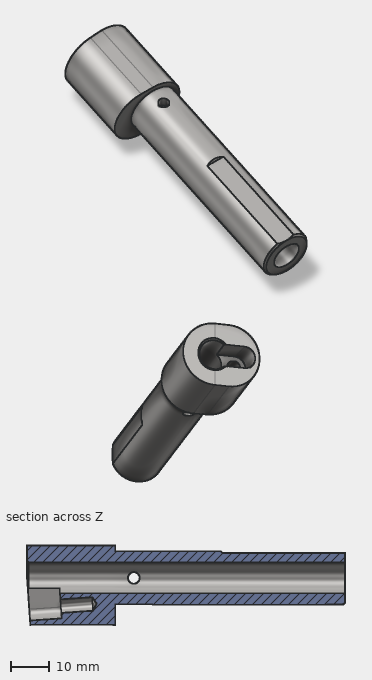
import cadquery as cq
import math

total_length = 83.0
head_length = 23.1
head_radius = 8.51
head_offset = 3.8
shaft_diameter = 14.0
shaft_radius = shaft_diameter / 2
shaft_chamfer = 0.5

bore_radius = 4.0
bore_chamfer = 0.5

cross_hole_x = 27.9
cross_hole_diameter = 3.0

flat_start = 50.55
flat_depth = 0.5

face_tilt = 4.0
slot_width = 6.0
slot_center = 8.1
slot_depth = 8.3
pin_hole_center = 8.0
pin_hole_diameter = 3.5
pin_hole_depth = 8.3
drill_point_angle = 118.0


def make_body():
    """Oblong head with a chamfered round shaft behind it."""
    head = (
        cq.Workplane("YZ")
        .center(-head_offset / 2, 0)
        .slot2D(head_offset + 2 * head_radius, 2 * head_radius)
        .extrude(head_length)
    )
    shaft = cq.Workplane("YZ").circle(shaft_radius).extrude(total_length)
    shaft = shaft.faces(">X").chamfer(shaft_chamfer)
    return head.union(shaft)


def make_face_wedge():
    """Material removed to lean the head face back from the bore axis to the -Y side."""
    reach = head_offset + 2 * head_radius
    setback = reach * math.tan(math.radians(face_tilt))
    return (
        cq.Workplane("XY")
        .polyline([(0, 0), (0, -reach), (setback, -reach)])
        .close()
        .extrude(head_radius, both=True)
    )


def make_bore():
    """Through bore with a chamfered mouth at the head face."""
    mouth_radius = bore_radius + bore_chamfer
    return (
        cq.Workplane("XY")
        .polyline([
            (0, 0),
            (0, mouth_radius),
            (bore_chamfer, bore_radius),
            (total_length, bore_radius),
            (total_length, 0),
        ])
        .close()
        .revolve(360, (0, 0, 0), (1, 0, 0))
    )


def make_slot_and_pin_hole():
    """Round-ended slot from the bore to -Y, with a drilled hole in its floor."""
    slot = (
        cq.Workplane("YZ")
        .center(-slot_center / 2, 0)
        .slot2D(slot_center + slot_width, slot_width)
        .extrude(slot_depth)
    )
    pin_radius = pin_hole_diameter / 2
    hole_end = slot_depth + pin_hole_depth
    point_length = pin_radius / math.tan(math.radians(drill_point_angle / 2))
    pin_hole = (
        cq.Workplane("XY")
        .polyline([
            (0, 0),
            (0, pin_radius),
            (hole_end, pin_radius),
            (hole_end + point_length, 0),
        ])
        .close()
        .revolve(360, (0, 0, 0), (1, 0, 0))
        .translate((0, -pin_hole_center, 0))
    )
    return slot.union(pin_hole).rotate((0, 0, 0), (0, 0, 1), face_tilt)


def make_flat(roll):
    """Cutter for a shaft flat with a 45 degree run-out, turned about X by roll degrees."""
    floor = shaft_radius - flat_depth
    return (
        cq.Workplane("XZ")
        .polyline([
            (flat_start, shaft_radius),
            (flat_start + flat_depth, floor),
            (total_length, floor),
            (total_length, shaft_radius),
        ])
        .close()
        .extrude(shaft_radius, both=True)
        .rotate((0, 0, 0), (1, 0, 0), roll)
    )


cross_hole = (
    cq.Workplane("XY")
    .center(cross_hole_x, 0)
    .circle(cross_hole_diameter / 2)
    .extrude(shaft_radius, both=True)
)

result = make_body().cut(make_face_wedge()).cut(make_bore())
result = result.cut(make_slot_and_pin_hole()).cut(cross_hole)
for roll in (0, -90):
    result = result.cut(make_flat(roll))